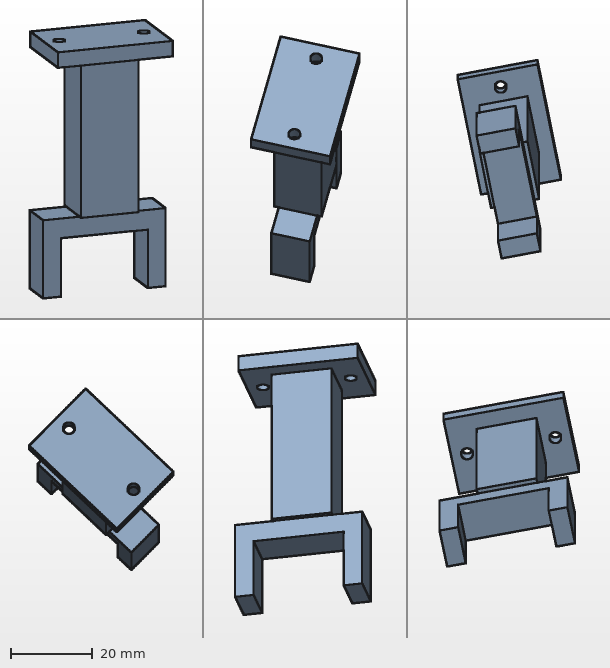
import cadquery as cq

total_height = 64.0
plate_width = 20.0
plate_length = 30.0
plate_thickness = 4.0

hole_diameter = 2.9
hole_edge_distance = 4.0

column_width = 12.0
column_length = 15.0

fork_width = 9.7
fork_length = 32.0
fork_height = 20.0
fork_bridge_thickness = 5.05
fork_leg_thickness = 4.7

fork_center_y = (plate_length - fork_length) / 2
column_height = total_height - plate_thickness - fork_height
plate_bottom = total_height - plate_thickness
hole_offset_y = plate_length / 2 - hole_edge_distance


def block(width, length, height, center_y, bottom):
    """Upright box centred in X, standing on the given level."""
    return (
        cq.Workplane("XY")
        .box(width, length, height, centered=(True, True, False))
        .translate((0, center_y, bottom))
    )


def make_plate():
    plate = block(plate_width, plate_length, plate_thickness, 0, plate_bottom)
    return (
        plate.faces(">Z")
        .workplane(origin=(0, 0, total_height))
        .pushPoints([(0, -hole_offset_y), (0, hole_offset_y)])
        .hole(hole_diameter)
    )


def make_fork():
    gap_length = fork_length - 2 * fork_leg_thickness
    gap_height = fork_height - fork_bridge_thickness
    body = block(fork_width, fork_length, fork_height, fork_center_y, 0)
    gap = block(fork_width, gap_length, gap_height, fork_center_y, 0)
    return body.cut(gap)


column = block(column_width, column_length, column_height, 0, fork_height)
result = make_plate().union(column).union(make_fork())